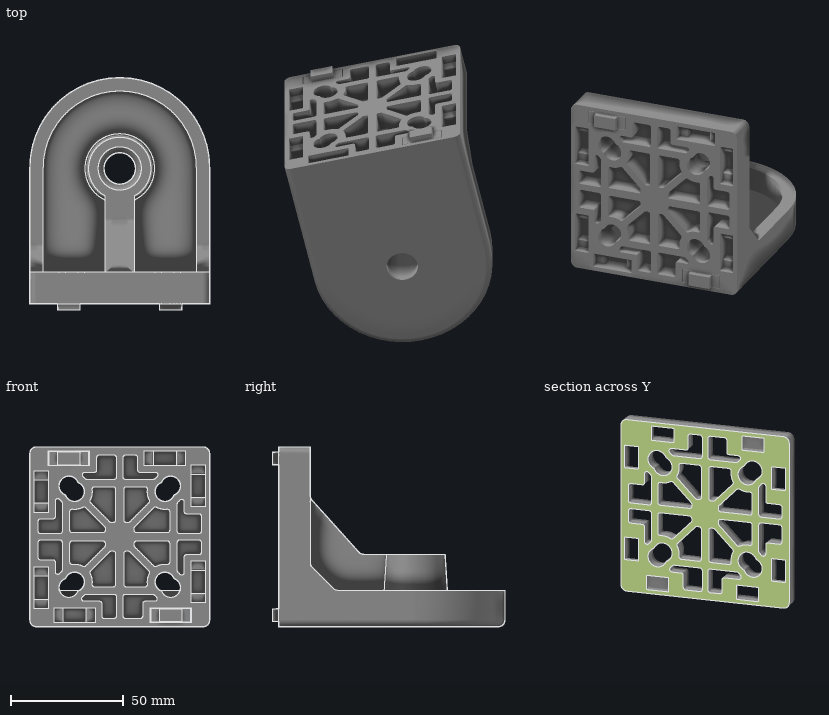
import cadquery as cq


WIDTH = 79.8
HALF = WIDTH / 2
TAB_REACH = 2.8
OVERALL_LENGTH = 103.1
LENGTH = OVERALL_LENGTH - TAB_REACH
PLATE_THICKNESS = 14.0
CORNER_RADIUS = 3.0

RIM_WIDTH = 6.0
RIM_HEIGHT = 16.2
FLOOR_HEIGHT = 5.6
ROUND_CENTER_Y = LENGTH - HALF

BOSS_CENTER_Y = 60.0
BOSS_HEIGHT = 32.2
BOSS_TOP_DIAMETER = 27.6
BOSS_BASE_DIAMETER = 30.8
BOLT_DIAMETER = 13.8
COUNTERSINK_DIAMETER = 19.2
COUNTERSINK_DEPTH = 2.7

RIB_WIDTH = 13.0
RIB_SLOPE_RUN = 22.4
RIB_SLOPE_RISE = 24.8
RIM_SLOPE_RUN = 11.0
GUSSET_BEND_RADIUS = 3.0

HOLE_DIAMETER = 8.6
INNER_OFFSET = 20.0
OUTER_OFFSET = 22.6

POCKET_DEPTH = 8.5
POCKET_CORNER_RADIUS = 1
CROSS_RIB_HALF = 1.9
DIAGONAL_RIB_SHIFT = 2.2
TRIANGLE_INNER = 6.4
TRIANGLE_OUTER = 22.2
HOLE_WALL_RADIUS = 7.8
L_INNER_SIDE = 1.4
L_BOTTOM = 25.5
L_ARM_TOP = 28.6
L_TOP = 36.2
L_ARM_CUT = 1.5
WIDE_L = (10.2, 16.6)
NARROW_L = (7.9, 16.9)

SLOT_LENGTH = 18.4
SLOT_WIDTH = 6.4
SLOT_DEPTH = 4.0
SLOT_CENTER = 34.7
SLOT_END_RADIUS = 0.3
RECESS_LENGTH = 10.2
RECESS_EDGE_RADIUS = 0.6
RECESS_DEPTH = POCKET_DEPTH

FLANGE_LENGTH = 17.5
FLANGE_WIDTH = 6.1
TAB_LENGTH = 10.1
TAB_WIDTH = 5.8
TAB_TAPER = 1.5

PICK_MARGIN = 0.1


def plate_front():
    """Work plane on the plate front, at its center: x along X, y along Z, normal -Y."""
    return cq.Workplane("XZ", origin=(0, 0, HALF))


def turned(body, degrees):
    """The body turned about the level axis through the plate center."""
    return body.rotate((0, 0, HALF), (0, 1, HALF), degrees)


def mirrored(body):
    """The body reflected from one side of the bracket to the other."""
    return body.mirror("YZ")


def round_ended(half_width):
    """Tray outline: straight from the plate front, then a half circle."""
    return (
        cq.Workplane("XY")
        .moveTo(-half_width, 0)
        .lineTo(half_width, 0)
        .lineTo(half_width, ROUND_CENTER_Y)
        .threePointArc((0, ROUND_CENTER_Y + half_width), (-half_width, ROUND_CENTER_Y))
        .close()
    )


def gusset(width, base_height, run, rise):
    """Wall along Y with a sloping shoulder up to the plate, centered on X = 0."""
    plate_back = PLATE_THICKNESS
    overlap_y = plate_back / 2
    shoulder_top = base_height + rise
    above = shoulder_top + GUSSET_BEND_RADIUS
    return (
        cq.Workplane("YZ", origin=(-width / 2, 0, 0))
        .moveTo(overlap_y, FLOOR_HEIGHT)
        .lineTo(BOSS_CENTER_Y, FLOOR_HEIGHT)
        .lineTo(BOSS_CENTER_Y, base_height)
        .lineTo(plate_back + run, base_height)
        .lineTo(plate_back, shoulder_top)
        .lineTo(plate_back, above)
        .lineTo(overlap_y, above)
        .close()
        .extrude(width)
        .edges("|X")
        .edges(cq.selectors.BoxSelector(
            (-width, plate_back - PICK_MARGIN, base_height - PICK_MARGIN),
            (width, plate_back + run + PICK_MARGIN, shoulder_top + PICK_MARGIN),
        ))
        .fillet(GUSSET_BEND_RADIUS)
    )


def tray():
    """Round-ended tray with an open top and a rounded lower edge."""
    outer = round_ended(HALF).extrude(RIM_HEIGHT)
    outer = outer.faces("<Z").edges("not <Y").fillet(CORNER_RADIUS)
    inside = (
        round_ended(HALF - RIM_WIDTH)
        .extrude(RIM_HEIGHT)
        .translate((0, 0, FLOOR_HEIGHT))
    )
    return outer.cut(inside)


def plate():
    return (
        plate_front()
        .rect(WIDTH, WIDTH)
        .extrude(-PLATE_THICKNESS)
        .edges("|Y")
        .fillet(CORNER_RADIUS)
    )


def boss():
    return (
        cq.Workplane("XY", origin=(0, BOSS_CENTER_Y, FLOOR_HEIGHT))
        .circle(BOSS_BASE_DIAMETER / 2)
        .workplane(offset=BOSS_HEIGHT - FLOOR_HEIGHT)
        .circle(BOSS_TOP_DIAMETER / 2)
        .loft()
    )


def bolt_hole():
    bore = (
        cq.Workplane("XY", origin=(0, BOSS_CENTER_Y, 0))
        .circle(BOLT_DIAMETER / 2)
        .extrude(BOSS_HEIGHT)
    )
    countersink = (
        cq.Workplane("XY", origin=(0, BOSS_CENTER_Y, BOSS_HEIGHT))
        .circle(COUNTERSINK_DIAMETER / 2)
        .workplane(offset=-COUNTERSINK_DEPTH)
        .circle(BOLT_DIAMETER / 2)
        .loft()
    )
    return bore.union(countersink)


def mounting_holes(offset):
    """Four holes through the plate, at equal distances from both plate axes."""
    return (
        plate_front()
        .rect(2 * offset, 2 * offset, forConstruction=True)
        .vertices()
        .circle(HOLE_DIAMETER / 2)
        .extrude(-PLATE_THICKNESS)
    )


def triangle_pocket():
    """Pocket between the upright rib and a diagonal rib, hollowed around the inner hole."""
    hole_wall = (
        plate_front()
        .center(INNER_OFFSET, INNER_OFFSET)
        .circle(HOLE_WALL_RADIUS)
        .extrude(-POCKET_DEPTH)
    )
    return (
        plate_front()
        .moveTo(CROSS_RIB_HALF, TRIANGLE_INNER)
        .lineTo(TRIANGLE_INNER - DIAGONAL_RIB_SHIFT, TRIANGLE_INNER)
        .lineTo(TRIANGLE_OUTER - DIAGONAL_RIB_SHIFT, TRIANGLE_OUTER)
        .lineTo(CROSS_RIB_HALF, TRIANGLE_OUTER)
        .close()
        .extrude(-POCKET_DEPTH)
        .cut(hole_wall)
        .edges("|Y")
        .fillet(POCKET_CORNER_RADIUS)
    )


def l_pocket(block_reach, arm_reach):
    """L-shaped pocket beside the upper end of the upright rib."""
    return (
        plate_front()
        .moveTo(L_INNER_SIDE, L_BOTTOM)
        .lineTo(arm_reach - L_ARM_CUT, L_BOTTOM)
        .lineTo(arm_reach, L_BOTTOM + L_ARM_CUT)
        .lineTo(arm_reach, L_ARM_TOP)
        .lineTo(block_reach, L_ARM_TOP)
        .lineTo(block_reach, L_TOP)
        .lineTo(L_INNER_SIDE, L_TOP)
        .close()
        .extrude(-POCKET_DEPTH)
        .edges("|Y")
        .fillet(POCKET_CORNER_RADIUS)
    )


def clip_slot(center_x):
    """Slot near the upper plate edge, with a deeper recess in its middle."""
    shallow = (
        plate_front()
        .center(center_x, SLOT_CENTER)
        .rect(SLOT_LENGTH, SLOT_WIDTH)
        .extrude(-SLOT_DEPTH)
        .faces(">Y")
        .edges("|Z")
        .fillet(SLOT_END_RADIUS)
    )
    recess = (
        plate_front()
        .center(center_x, SLOT_CENTER)
        .rect(RECESS_LENGTH, SLOT_WIDTH)
        .extrude(-RECESS_DEPTH)
    )
    mouth_half = RECESS_LENGTH / 2 + PICK_MARGIN
    return (
        shallow.union(recess)
        .edges("|Z")
        .edges(cq.selectors.BoxSelector(
            (center_x - mouth_half, SLOT_DEPTH - PICK_MARGIN, 0),
            (center_x + mouth_half, SLOT_DEPTH + PICK_MARGIN, WIDTH),
        ))
        .fillet(RECESS_EDGE_RADIUS)
    )


def clip():
    """Clip in the upper left slot: a flange flush with the plate front and a tapered tab."""
    base = plate_front().workplane(offset=-SLOT_DEPTH).center(-OUTER_OFFSET, SLOT_CENTER)
    flange = base.rect(FLANGE_LENGTH, FLANGE_WIDTH).extrude(SLOT_DEPTH)
    tab = (
        base.workplane(offset=SLOT_DEPTH)
        .rect(TAB_LENGTH, TAB_WIDTH)
        .extrude(TAB_REACH, taper=TAB_TAPER)
    )
    return flange.union(tab)


def bracket():
    body = tray().union(plate()).union(boss())
    body = body.union(gusset(RIB_WIDTH, BOSS_HEIGHT, RIB_SLOPE_RUN, RIB_SLOPE_RISE))
    rim_gusset = gusset(RIM_WIDTH, RIM_HEIGHT, RIM_SLOPE_RUN, RIM_SLOPE_RUN)
    for side in (-1, 1):
        body = body.union(rim_gusset.translate((side * (HALF - RIM_WIDTH / 2), 0, 0)))
    body = body.cut(bolt_hole())
    for offset in (INNER_OFFSET, OUTER_OFFSET):
        body = body.cut(mounting_holes(offset))
    quarter_cuts = [
        triangle_pocket(),
        mirrored(triangle_pocket()),
        mirrored(l_pocket(*WIDE_L)),
        l_pocket(*NARROW_L),
        clip_slot(-OUTER_OFFSET),
        clip_slot(INNER_OFFSET),
    ]
    for quarter in range(4):
        for cutter in quarter_cuts:
            body = body.cut(turned(cutter, 90 * quarter))
    return body


housing = bracket()
clips = [turned(clip(), 180 * half_turn) for half_turn in range(2)]
result = cq.Compound.makeCompound([housing.val(), *[one.val() for one in clips]])